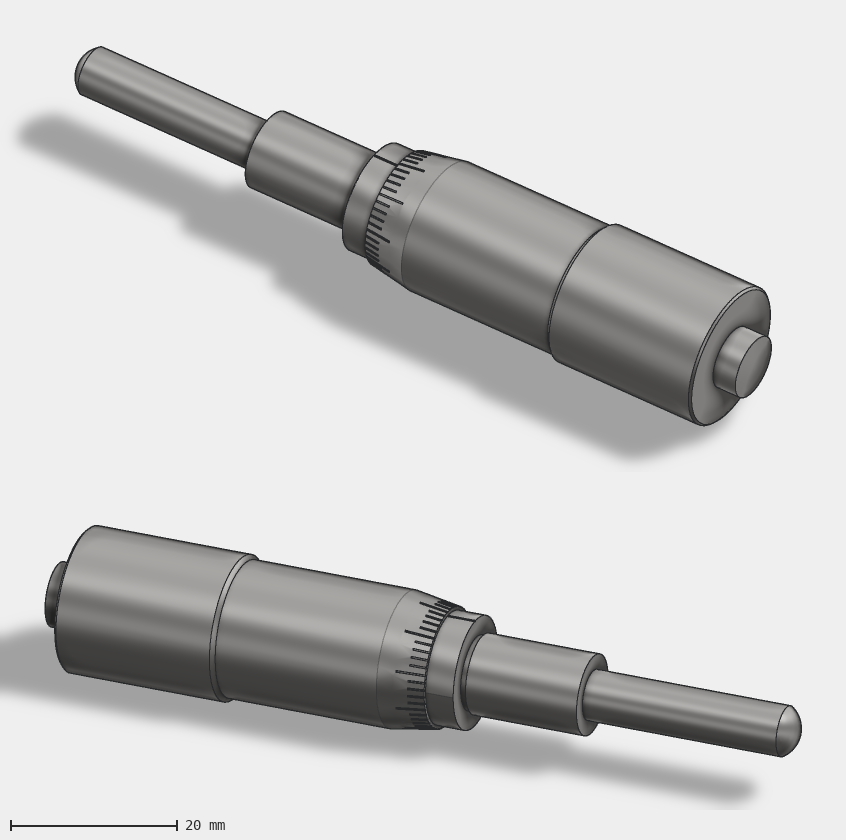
import cadquery as cq
import math

TOTAL_LENGTH = 96.5

SPINDLE_DOME_END = 1.7
STEM_START = 26.8
STEM_END = 41.2
SLEEVE_START = 42.0
THIMBLE_START = 45.5
CONE_END = 51.3
GRIP_START = 72.8
GRIP_END = 92.9

SPINDLE_DIAMETER = 6.3
STEM_DIAMETER = 10.0
NECK_DIAMETER = 9.4
SLEEVE_DIAMETER = 14.1
CONE_START_DIAMETER = 15.1
THIMBLE_DIAMETER = 17.0
GRIP_DIAMETER = 18.0
KNOB_DIAMETER = 8.0

KNOB_DOME_HEIGHT = 0.4

GRIP_FRONT_CHAMFER = (GRIP_DIAMETER - THIMBLE_DIAMETER) / 2
GRIP_REAR_CHAMFER = 0.3

DIVISIONS = 50
DIVISIONS_PER_LONG_MARK = 5
SHORT_MARK_LENGTH = 2.0
LONG_MARK_LENGTH = 3.6
MARK_WIDTH = 0.2
MARK_DEPTH = 0.1


def dome_midpoint_depth(height, rim_radius):
    """Axial distance from a dome's crown to its surface at half the rim radius."""
    sphere_radius = (rim_radius**2 + height**2) / (2 * height)
    return sphere_radius - math.sqrt(sphere_radius**2 - (rim_radius / 2) ** 2)


def make_body():
    """Revolve the stepped half profile, from spindle tip to end knob, about X."""
    spindle_radius = SPINDLE_DIAMETER / 2
    stem_radius = STEM_DIAMETER / 2
    neck_radius = NECK_DIAMETER / 2
    sleeve_radius = SLEEVE_DIAMETER / 2
    thimble_radius = THIMBLE_DIAMETER / 2
    grip_radius = GRIP_DIAMETER / 2
    knob_radius = KNOB_DIAMETER / 2

    tip_depth = dome_midpoint_depth(SPINDLE_DOME_END, spindle_radius)
    knob_depth = dome_midpoint_depth(KNOB_DOME_HEIGHT, knob_radius)

    profile = (
        cq.Workplane("XY")
        .moveTo(0, 0)
        .threePointArc((tip_depth, spindle_radius / 2), (SPINDLE_DOME_END, spindle_radius))
        .lineTo(STEM_START, spindle_radius)
        .lineTo(STEM_START, stem_radius)
        .lineTo(STEM_END, stem_radius)
        .lineTo(STEM_END, neck_radius)
        .lineTo(SLEEVE_START, neck_radius)
        .lineTo(SLEEVE_START, sleeve_radius)
        .lineTo(THIMBLE_START, sleeve_radius)
        .lineTo(THIMBLE_START, CONE_START_DIAMETER / 2)
        .lineTo(CONE_END, thimble_radius)
        .lineTo(GRIP_START - GRIP_FRONT_CHAMFER, thimble_radius)
        .lineTo(GRIP_START, grip_radius)
        .lineTo(GRIP_END - GRIP_REAR_CHAMFER, grip_radius)
        .lineTo(GRIP_END, grip_radius - GRIP_REAR_CHAMFER)
        .lineTo(GRIP_END, knob_radius)
        .lineTo(TOTAL_LENGTH - KNOB_DOME_HEIGHT, knob_radius)
        .threePointArc((TOTAL_LENGTH - knob_depth, knob_radius / 2), (TOTAL_LENGTH, 0))
        .close()
    )
    return profile.revolve(360, (0, 0, 0), (1, 0, 0))


def make_groove_cutter(start, length, start_radius, slope_angle):
    """Bar on the +Z side whose floor lies MARK_DEPTH below a surface rising by slope_angle."""
    rise = length * math.tan(slope_angle)
    height = THIMBLE_DIAMETER / 2
    floor_start = start_radius - MARK_DEPTH
    return (
        cq.Workplane("XZ")
        .moveTo(start, floor_start)
        .lineTo(start + length, floor_start + rise)
        .lineTo(start + length, height)
        .lineTo(start, height)
        .close()
        .extrude(MARK_WIDTH / 2, both=True)
    )


def make_thimble_marks():
    """Graduation marks around the cone, with a long one at every fifth division."""
    cone_rise = (THIMBLE_DIAMETER - CONE_START_DIAMETER) / 2
    cone_angle = math.atan2(cone_rise, CONE_END - THIMBLE_START)
    marks = cq.Workplane("XY")
    for division in range(DIVISIONS):
        is_long = division % DIVISIONS_PER_LONG_MARK == 0
        length = LONG_MARK_LENGTH if is_long else SHORT_MARK_LENGTH
        mark = make_groove_cutter(THIMBLE_START, length, CONE_START_DIAMETER / 2, cone_angle)
        turned_mark = mark.rotate((0, 0, 0), (1, 0, 0), division * 360 / DIVISIONS)
        marks = marks.add(turned_mark)
    return marks.combine()


def make_index_line():
    """Straight reading line along the top of the sleeve."""
    return make_groove_cutter(SLEEVE_START, THIMBLE_START - SLEEVE_START, SLEEVE_DIAMETER / 2, 0)


result = make_body().cut(make_thimble_marks()).cut(make_index_line())